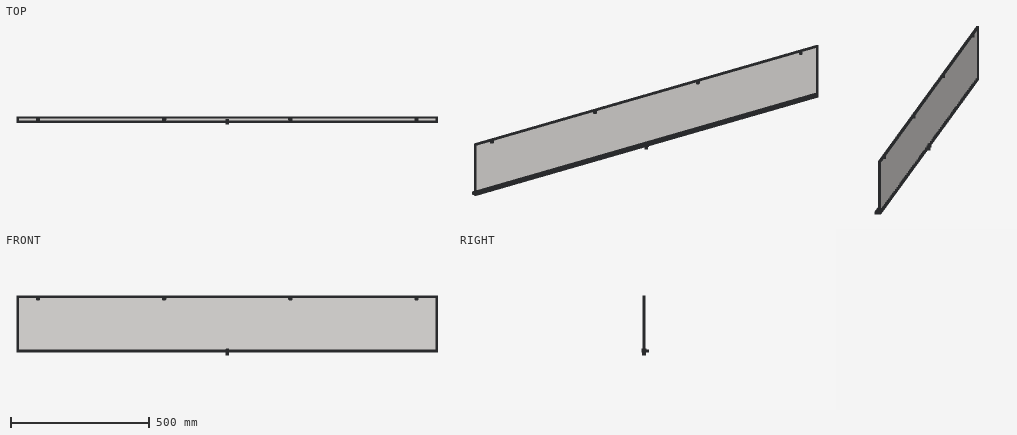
import cadquery as cq

panel_length = 1516.0
panel_height = 199.0
panel_top = 105.0
panel_bottom = panel_top - panel_height
sheet_thickness = 3.0
front_face = -6.0
back_edge = 10.0

hole_diameter = 6.4
hole_pitch = 456.0
hole_count = 4
sheet_hole_drop = 8.0
flange_hole_y = 5.0

barrel_diameter = 7.1
barrel_front = -10.0
barrel_back = 2.0
barrel_rise = 3.0
barrel_z = panel_bottom + barrel_rise
pin_diameter = 6.4
pin_y = front_face + sheet_thickness / 2
pin_bottom = -105.0

hole_places = [(i - (hole_count - 1) / 2) * hole_pitch for i in range(hole_count)]


def cylinder_along_y(diameter, x, z, y_start, y_end):
    plane = cq.Plane(origin=(x, y_start, z), xDir=(1, 0, 0), normal=(0, 1, 0))
    return cq.Workplane(plane).circle(diameter / 2).extrude(y_end - y_start)


def cylinder_along_z(diameter, x, y, z_start, z_end):
    return (
        cq.Workplane("XY", origin=(x, y, z_start))
        .circle(diameter / 2)
        .extrude(z_end - z_start)
    )


def make_sheet_and_flange():
    left = -panel_length / 2
    sheet = cq.Workplane("XY").box(
        panel_length, sheet_thickness, panel_height, centered=False
    ).translate((left, front_face, panel_bottom))
    flange = cq.Workplane("XY").box(
        panel_length, back_edge - front_face, sheet_thickness, centered=False
    ).translate((left, front_face, panel_bottom))
    return sheet.union(flange)


def make_barrel():
    return cylinder_along_y(barrel_diameter, 0, barrel_z, barrel_front, barrel_back)


def make_pin(barrel_body):
    return cylinder_along_z(pin_diameter, 0, pin_y, pin_bottom, barrel_z).cut(barrel_body)


def make_panel(latch_bodies):
    body = make_sheet_and_flange()
    sheet_back = front_face + sheet_thickness
    flange_top = panel_bottom + sheet_thickness
    for x in hole_places:
        sheet_hole_z = panel_top - sheet_hole_drop
        body = body.cut(cylinder_along_y(hole_diameter, x, sheet_hole_z, front_face, sheet_back))
        body = body.cut(cylinder_along_z(hole_diameter, x, flange_hole_y, panel_bottom, flange_top))
    for latch_body in latch_bodies:
        body = body.cut(latch_body)
    return body


barrel = make_barrel()
pin = make_pin(barrel)
panel = make_panel([barrel, pin])

result = cq.Compound.makeCompound([panel.val(), barrel.val(), pin.val()])